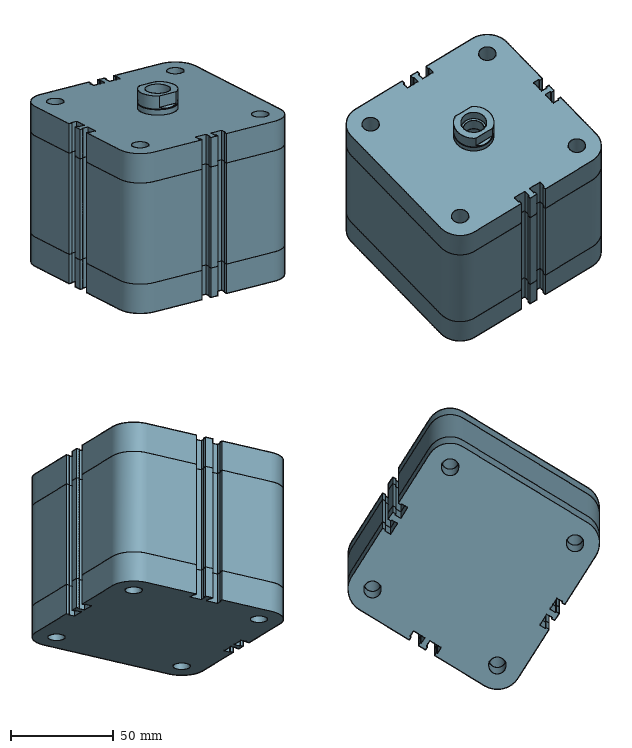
import cadquery as cq
import math

WIDTH = 96.0
CORNER_RADIUS = 12.0
END_CAP_HEIGHT = 15.5
BARREL_HEIGHT = 53.1
TOP_COVER_BASE_Z = END_CAP_HEIGHT + BARREL_HEIGHT
HOUSING_HEIGHT = TOP_COVER_BASE_Z + END_CAP_HEIGHT

BOLT_DIAMETER = 8.4
BOLT_SPACING = 72.0

SLOT_PITCH = 9.4
SLOT_MOUTH_WIDTH = 5.2
SLOT_WIDTH = 6.4
SLOT_DEPTH = 5.0
SLOT_LIP = 1.7
SLOTTED_SIDE_ANGLES = (-90, 0, 180)

ROD_DIAMETER = 20.0
ROD_HEAD_DIAMETER = 19.8
ROD_PROTRUSION = 10.0
ROD_TOP_Z = HOUSING_HEIGHT + ROD_PROTRUSION
ROD_HEAD_HEIGHT = 6.9
SHOULDER_CHAMFER_HEIGHT = 0.3
FLAT_HEIGHT = 6.0
FLAT_FLOOR_ANGLE = 30.0
ACROSS_FLATS = 17.0
SOCKET_MOUTH_DIAMETER = 12.5
SOCKET_MOUTH_DEPTH = 5.0
SOCKET_DIAMETER = 10.2
SOCKET_DEPTH = 11.5
SOCKET_END_DIAMETER = 10.0
SOCKET_END_DEPTH = 15.4


def slot_pair(height):
    """Cutter for two T-slots that open on the +X side and run the full height."""
    slot_centers = [(0, -SLOT_PITCH / 2), (0, SLOT_PITCH / 2)]
    lip_inner_x = WIDTH / 2 - SLOT_LIP
    pocket_depth = SLOT_DEPTH - SLOT_LIP
    pockets = (
        cq.Workplane("XY", origin=(lip_inner_x - pocket_depth / 2, 0, 0))
        .pushPoints(slot_centers)
        .rect(pocket_depth, SLOT_WIDTH)
        .extrude(height)
    )
    mouths = (
        cq.Workplane("XY", origin=(lip_inner_x + SLOT_LIP / 2, 0, 0))
        .pushPoints(slot_centers)
        .rect(SLOT_LIP, SLOT_MOUTH_WIDTH)
        .extrude(height)
    )
    return pockets.union(mouths)


def housing_section(base_z, height):
    """One slice of the housing with its bolt holes and side slots."""
    section = (
        cq.Workplane("XY")
        .rect(WIDTH, WIDTH)
        .extrude(height)
        .edges("|Z")
        .fillet(CORNER_RADIUS)
    )
    bolt_holes = (
        cq.Workplane("XY")
        .rect(BOLT_SPACING, BOLT_SPACING, forConstruction=True)
        .vertices()
        .circle(BOLT_DIAMETER / 2)
        .extrude(height)
    )
    section = section.cut(bolt_holes)
    for angle in SLOTTED_SIDE_ANGLES:
        section = section.cut(slot_pair(height).rotate((0, 0, 0), (0, 0, 1), angle))
    return section.translate((0, 0, base_z))


def rod_flat(direction):
    """Cutter for one wrench flat facing direction (+1 or -1) along X, with a floor that slopes down outward."""
    flat_x = ACROSS_FLATS / 2
    outer_x = ROD_DIAMETER
    floor_z = ROD_TOP_Z - FLAT_HEIGHT
    outer_floor_z = floor_z - (outer_x - flat_x) * math.tan(math.radians(FLAT_FLOOR_ANGLE))
    return (
        cq.Workplane("XZ")
        .moveTo(direction * flat_x, ROD_TOP_Z)
        .lineTo(direction * flat_x, floor_z)
        .lineTo(direction * outer_x, outer_floor_z)
        .lineTo(direction * outer_x, ROD_TOP_Z)
        .close()
        .extrude(ROD_DIAMETER, both=True)
    )


def piston_rod():
    """Rod through the top cover, with a slightly narrower head, two wrench flats and a stepped socket."""
    head_base_z = ROD_TOP_Z - ROD_HEAD_HEIGHT
    shoulder_width = (ROD_DIAMETER - ROD_HEAD_DIAMETER) / 2
    shank = (
        cq.Workplane("XY", origin=(0, 0, TOP_COVER_BASE_Z))
        .circle(ROD_DIAMETER / 2)
        .extrude(head_base_z - TOP_COVER_BASE_Z)
        .faces(">Z")
        .chamfer(SHOULDER_CHAMFER_HEIGHT, shoulder_width)
    )
    head = (
        cq.Workplane("XY", origin=(0, 0, head_base_z))
        .circle(ROD_HEAD_DIAMETER / 2)
        .extrude(ROD_HEAD_HEIGHT)
    )
    rod = shank.union(head)
    for direction in (-1, 1):
        rod = rod.cut(rod_flat(direction))
    top_plane = cq.Workplane("XY", origin=(0, 0, ROD_TOP_Z))
    socket_steps = (
        (SOCKET_MOUTH_DIAMETER, SOCKET_MOUTH_DEPTH),
        (SOCKET_DIAMETER, SOCKET_DEPTH),
        (SOCKET_END_DIAMETER, SOCKET_END_DEPTH),
    )
    for diameter, depth in socket_steps:
        rod = rod.cut(top_plane.circle(diameter / 2).extrude(-depth))
    return rod


def top_cover():
    """Upper end cap, bored for the piston rod."""
    rod_bore = (
        cq.Workplane("XY", origin=(0, 0, TOP_COVER_BASE_Z))
        .circle(ROD_DIAMETER / 2)
        .extrude(END_CAP_HEIGHT)
    )
    return housing_section(TOP_COVER_BASE_Z, END_CAP_HEIGHT).cut(rod_bore)


def barrel():
    """Middle section of the housing."""
    return housing_section(END_CAP_HEIGHT, BARREL_HEIGHT)


def bottom_cover():
    """Lower end cap."""
    return housing_section(0, END_CAP_HEIGHT)


result = cq.Compound.makeCompound(
    [
        bottom_cover().val(),
        barrel().val(),
        top_cover().val(),
        piston_rod().val(),
    ]
)